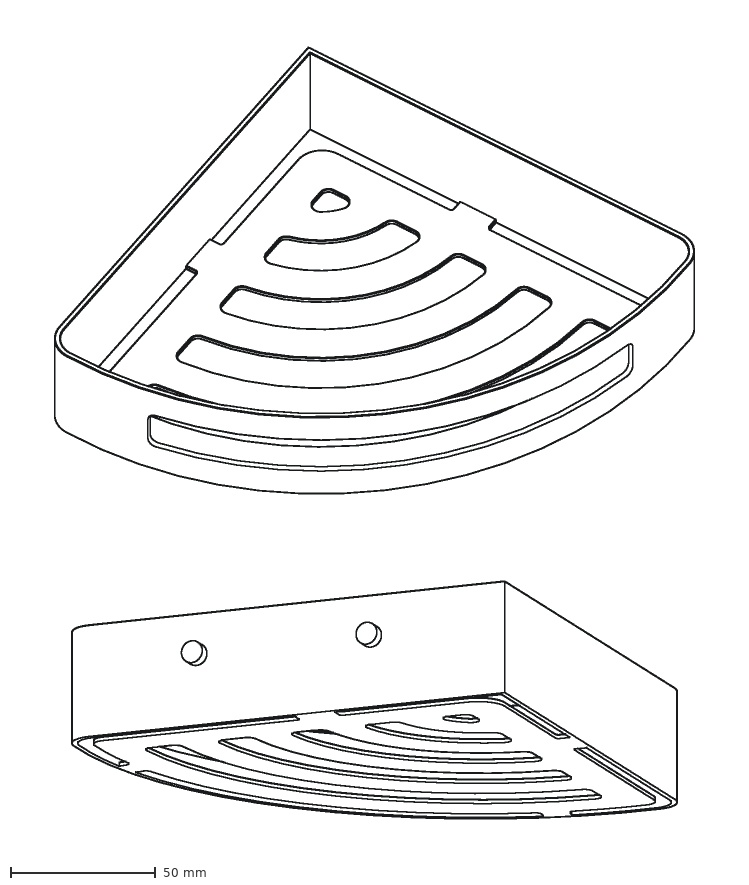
import cadquery as cq
import math

SIDE = 165.0
HEIGHT = 40.0
WALL = 2.0
FRONT_RADIUS = 150.0
CORNER_RADIUS = 10.0
CENTRE = SIDE - FRONT_RADIUS

PLATE_THICKNESS = 1.5
PLATE_INSET = 7.0
PLATE_BACK_RADIUS = 10.0
PLATE_FRONT_RADIUS = 5
SIDE_TAB_WIDTH = 15.0
SIDE_TAB_PLACE = 71.8
FRONT_TAB_WIDTH = 10.0
FRONT_TAB_ANGLE = 12
TAB_END_GAP = WALL / 2
SIDE_TAB_ROOT_RADIUS = 1.0
FRONT_TAB_ROOT_RADIUS = 2.0

SLOT_MARGIN = 22
SLOT_COUNT = 5
FIRST_SLOT_RADIUS = 21.0
SLOT_PITCH = 27.1
SLOT_WIDTH = 13.5
SLOT_CORNER_RADIUS = 3.0

WINDOW_HEIGHT = 16.0
WINDOW_END_ANGLE = 10.3
WINDOW_CORNER_RADIUS = 3.0

PEG_DIAMETER = 7.8
PEG_LENGTH = 4.2
PEG_END_DISTANCE = 50.0
PEG_Z = 25.2

EDGE_BREAK = 0.25


def disc(radius, height):
    """Cylinder about the centre of the front arc."""
    return cq.Workplane("XY").center(CENTRE, -CENTRE).circle(radius).extrude(height)


def square_block(inset, height):
    """Block with its square corner inset from the origin, reaching beyond the front arc."""
    return cq.Workplane("XY").box(SIDE, SIDE, height, centered=False).translate((inset, -SIDE - inset, 0))


def quarter_round(inset, height, front_corner_radius):
    """Quarter-round block, offset inward from the wall's outer face, with its two front corners rounded."""
    block = square_block(inset, height).intersect(disc(FRONT_RADIUS - inset, height))
    front_corners = block.edges("|Z").edges(">X or <Y")
    return front_corners.fillet(front_corner_radius)


def mirror_across_diagonal(half):
    """Half together with its mirror image in the part's diagonal plane x = -y."""
    return half.union(half.mirror(cq.Vector(1, 1, 0), (0, 0, 0)))


def side_tab():
    """Tab reaching from the floor into the straight back wall."""
    reach = 2 * PLATE_INSET
    tab = cq.Workplane("XY").box(SIDE_TAB_WIDTH, reach, PLATE_THICKNESS, centered=(True, False, False))
    return tab.translate((SIDE_TAB_PLACE, -TAB_END_GAP - reach, 0))


def front_tab():
    """Radial tab reaching from the floor into the curved front wall."""
    reach = 2 * PLATE_INSET
    tab = cq.Workplane("XY").box(reach, FRONT_TAB_WIDTH, PLATE_THICKNESS, centered=(False, True, False))
    tab = tab.translate((FRONT_RADIUS - TAB_END_GAP - reach, 0, 0))
    return tab.rotate((0, 0, 0), (0, 0, 1), -FRONT_TAB_ANGLE).translate((CENTRE, -CENTRE, 0))


def front_tab_root(side):
    """Point where a long edge (side = +1 or -1) of the first front tab meets the floor's arc."""
    offset = side * FRONT_TAB_WIDTH / 2
    plate_radius = FRONT_RADIUS - PLATE_INSET
    angle = math.asin(offset / plate_radius) - math.radians(FRONT_TAB_ANGLE)
    return (CENTRE + plate_radius * math.cos(angle), -CENTRE + plate_radius * math.sin(angle))


def round_upright_edges(body, points, radius):
    """Fillet the upright edges of the floor that pass through the given points and their mirror points."""
    for x, y in points:
        for place in {(x, y), (-y, -x)}:
            middle = (*place, PLATE_THICKNESS / 2)
            body = body.edges(cq.NearestToPointSelector(middle)).fillet(radius)
    return body


def drain_slots():
    quadrant = square_block(SLOT_MARGIN, PLATE_THICKNESS)
    slots = cq.Workplane("XY")
    for index in range(SLOT_COUNT):
        outer_radius = FIRST_SLOT_RADIUS + index * SLOT_PITCH
        slot = disc(outer_radius, PLATE_THICKNESS).intersect(quadrant)
        if index > 0:
            slot = slot.cut(disc(outer_radius - SLOT_WIDTH, PLATE_THICKNESS))
        slots = slots.add(slot.edges("|Z").fillet(SLOT_CORNER_RADIUS))
    return slots.combine()


def floor_plate():
    plate = quarter_round(PLATE_INSET, PLATE_THICKNESS, PLATE_FRONT_RADIUS)
    plate = round_upright_edges(plate, [(PLATE_INSET, -PLATE_INSET)], PLATE_BACK_RADIUS)
    plate = plate.union(mirror_across_diagonal(side_tab().add(front_tab()).combine()))
    side_roots = [(SIDE_TAB_PLACE + side * SIDE_TAB_WIDTH / 2, -PLATE_INSET) for side in (-1, 1)]
    front_roots = [front_tab_root(side) for side in (-1, 1)]
    plate = round_upright_edges(plate, side_roots, SIDE_TAB_ROOT_RADIUS)
    plate = round_upright_edges(plate, front_roots, FRONT_TAB_ROOT_RADIUS)
    return plate.cut(drain_slots()).faces(">Z").edges().chamfer(EDGE_BREAK)


def window():
    """Wedge through the curved front, with rounded corners at both ends."""
    reach = FRONT_RADIUS + WALL
    start = math.radians(-WINDOW_END_ANGLE)
    end = math.radians(WINDOW_END_ANGLE - 90)
    middle = math.radians(-45)

    def at(angle, radius):
        return (radius * math.cos(angle), radius * math.sin(angle))

    inner = FRONT_RADIUS - 3 * WALL
    sector = (
        cq.Workplane("XY")
        .moveTo(*at(start, inner))
        .lineTo(*at(start, reach))
        .threePointArc(at(middle, reach), at(end, reach))
        .lineTo(*at(end, inner))
        .threePointArc(at(middle, inner), at(start, inner))
        .close()
        .extrude(WINDOW_HEIGHT)
    )
    end_faces = sector.faces("%PLANE").faces("not |Z")
    corners = end_faces.edges("not |Z").edges("%LINE")
    return corners.fillet(WINDOW_CORNER_RADIUS).translate((CENTRE, -CENTRE, (HEIGHT - WINDOW_HEIGHT) / 2))


def wall():
    outer = quarter_round(0, HEIGHT, CORNER_RADIUS)
    inner = quarter_round(WALL, HEIGHT, CORNER_RADIUS - WALL)
    ring = outer.cut(inner).faces(">Z").edges().chamfer(EDGE_BREAK)
    return ring.cut(window())


def pegs():
    places = [(PEG_END_DISTANCE, PEG_Z), (SIDE - PEG_END_DISTANCE, PEG_Z)]
    start = WALL / 2
    blank = cq.Workplane("XZ", origin=(0, -start, 0)).pushPoints(places).circle(PEG_DIAMETER / 2)
    return blank.extrude(-PEG_LENGTH - start)


result = wall().union(floor_plate()).union(pegs())